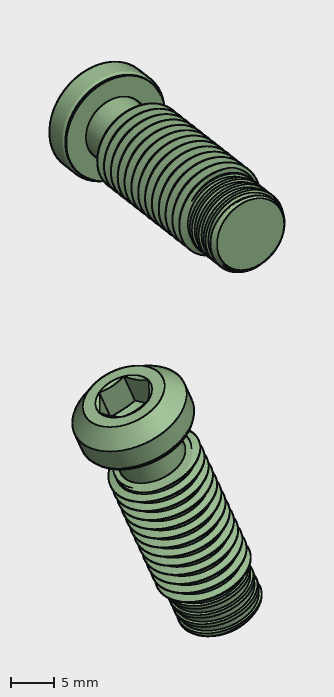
import cadquery as cq
import math

overall_length = 34.9

head_radius = 7.0
head_length = 5.0
head_chamfer = 2.0
head_edge_fillet = 0.3
washer_face_radius = head_radius - head_edge_fillet
washer_face_thickness = 0.3
head_end = head_length + washer_face_thickness

socket_across_flats = 6.0
socket_corner_diameter = socket_across_flats / math.cos(math.pi / 6)
socket_depth = 4.0
socket_mouth_angle = 30.0
socket_tip_radius = 0.58
socket_tip_angle = 15.0

shank_radius = 4.05
thread_start = 10.2
core_radius = 4.785
end_chamfer = 0.22
end_radius = core_radius - end_chamfer

pitch = 1.5
first_crest = 10.15
crest_radius = 5.75
pilot_radius = 5.1
pilot_length = 6.0
pilot_start = overall_length - pilot_length
crest_width = 0.1
base_width = 0.65
root_overlap = 0.2


def revolve_profile(profile):
    """Turn an (x, radius) profile about the X axis."""
    return profile.close().revolve(360, (0, 0, 0), (1, 0, 0))


def make_blank():
    """Head, washer face, shank and thread core without the thread."""
    face_radius = head_radius - head_chamfer
    fillet_start = head_length - head_edge_fillet
    fillet_mid = head_edge_fillet * math.sqrt(0.5)
    profile = (
        cq.Workplane("XY")
        .lineTo(0, face_radius)
        .lineTo(head_chamfer, head_radius)
        .lineTo(fillet_start, head_radius)
        .threePointArc(
            (fillet_start + fillet_mid, washer_face_radius + fillet_mid),
            (head_length, washer_face_radius),
        )
        .lineTo(head_end, washer_face_radius)
        .lineTo(head_end, shank_radius)
        .lineTo(thread_start, shank_radius)
        .lineTo(thread_start, core_radius)
        .lineTo(overall_length - end_chamfer, core_radius)
        .lineTo(overall_length, end_radius)
        .lineTo(overall_length, 0)
    )
    return revolve_profile(profile)


def make_socket():
    """Hexagonal socket with a coned mouth and a coned floor with a flat tip."""
    corner_radius = socket_corner_diameter / 2
    mouth_depth = corner_radius * math.tan(math.radians(socket_mouth_angle))
    floor_depth = (corner_radius - socket_tip_radius) * math.tan(math.radians(socket_tip_angle))
    hexagon = (
        cq.Workplane("YZ")
        .transformed(rotate=(0, 0, 90))
        .polygon(6, socket_corner_diameter)
        .extrude(socket_depth + floor_depth)
    )
    drill = revolve_profile(
        cq.Workplane("XY")
        .lineTo(0, corner_radius)
        .lineTo(socket_depth, corner_radius)
        .lineTo(socket_depth + floor_depth, socket_tip_radius)
        .lineTo(socket_depth + floor_depth, 0)
    )
    mouth = revolve_profile(
        cq.Workplane("XY")
        .lineTo(0, corner_radius)
        .lineTo(mouth_depth, 0)
    )
    return hexagon.intersect(drill).union(mouth)


def make_turned_space(start):
    """Turned space from x = start to the free end, which carries the end chamfer."""
    outer_radius = head_radius
    chamfer_start = overall_length - (outer_radius - end_radius)
    return revolve_profile(
        cq.Workplane("XY")
        .moveTo(start, 0)
        .lineTo(start, outer_radius)
        .lineTo(chamfer_start, outer_radius)
        .lineTo(overall_length, end_radius)
        .lineTo(overall_length, 0)
    )


def ridge_half_width(radius):
    """Half the width of the thread ridge at a given radius."""
    taper = (base_width - crest_width) / (crest_radius - core_radius)
    return (base_width - taper * (radius - core_radius)) / 2


def make_ridge(tip_radius):
    """Left-handed helical ridge cut off at tip_radius, overrunning the threaded section at both ends."""
    root_radius = core_radius - root_overlap
    root_half = ridge_half_width(root_radius)
    tip_half = ridge_half_width(tip_radius)
    section = cq.Workplane("XZ").polyline(
        [
            (root_radius, -root_half),
            (tip_radius, -tip_half),
            (tip_radius, tip_half),
            (root_radius, root_half),
        ]
    )
    helix_start = first_crest - pitch
    helix_length = overall_length + pitch - helix_start
    helix = cq.Wire.makeHelix(pitch, helix_length, root_radius, lefthand=True)
    ridge = section.close().sweep(cq.Workplane(helix), isFrenet=True)
    return ridge.rotate((0, 0, 0), (0, 1, 0), 90).translate((helix_start, 0, 0))


def make_full_thread():
    """Thread of full height, from the shank to the pilot."""
    length = pilot_start - thread_start
    span = cq.Workplane("YZ").workplane(offset=thread_start).circle(head_radius).extrude(length)
    return make_ridge(crest_radius).intersect(span)


def make_pilot_thread():
    """Thread of reduced height at the free end."""
    return make_ridge(pilot_radius).intersect(make_turned_space(pilot_start))


screw = make_blank().union(make_full_thread()).union(make_pilot_thread())
result = screw.cut(make_socket())